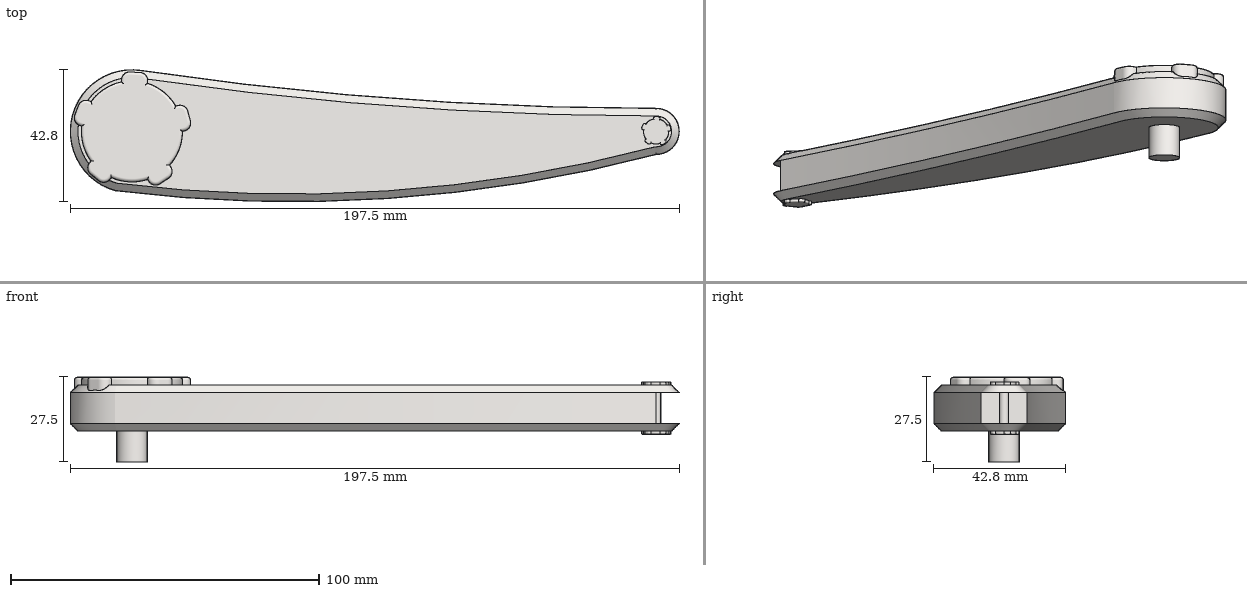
import cadquery as cq
import math

ARM_THICKNESS = 15.0
EDGE_CHAMFER = 2.5
BEVEL_ANGLE = 45.0
HUB_RADIUS = 20.0
TIP_RADIUS = 7.5
TIP_X = 170.0
UNDER_ARC_START_X = -5.4
BELLY_X = 51.7
BELLY_Y = -22.83

SHAFT_RADIUS = 5.0
SHAFT_LENGTH = 10.0

CAP_RADIUS = 16.4
CAP_RISE = 2.5
CAP_EDGE_RADIUS = 1.0
LOBE_COUNT = 5
LOBE_FIRST_ANGLE = 15.0
LOBE_REACH = 19.2
LOBE_WIDTH = 8.5
LOBE_CORNER_RADIUS = 2.6

PIN_RADIUS = 1.5
HEAD_SCALE = 0.25
HEAD_RISE = 1.0

CUT_MARGIN = 10.0


def arm_outline():
    """Hub circle and tip circle joined by a hollow upper arc and a belly arc."""
    upper_radius = (TIP_X**2 + TIP_RADIUS**2 - HUB_RADIUS**2) / (2 * (HUB_RADIUS - TIP_RADIUS))
    upper_centre_y = TIP_RADIUS + upper_radius
    share = HUB_RADIUS / (HUB_RADIUS + upper_radius)
    upper_start = (TIP_X * share, upper_centre_y * share)
    under_start = (UNDER_ARC_START_X, -math.sqrt(HUB_RADIUS**2 - UNDER_ARC_START_X**2))
    return (
        cq.Workplane("XY")
        .moveTo(*under_start)
        .threePointArc((BELLY_X, BELLY_Y), (TIP_X, -TIP_RADIUS))
        .threePointArc((TIP_X + TIP_RADIUS, 0), (TIP_X, TIP_RADIUS))
        .tangentArcPoint(upper_start, relative=False)
        .threePointArc((-HUB_RADIUS, 0), under_start)
        .close()
    )


def arm():
    """Bevelled arm with the wall removed between the tip flanges."""
    wall_height = ARM_THICKNESS - 2 * EDGE_CHAMFER
    wall = arm_outline().extrude(wall_height).translate((0, 0, EDGE_CHAMFER))
    bevel = arm_outline().extrude(EDGE_CHAMFER, taper=BEVEL_ANGLE)
    upper_bevel = bevel.translate((0, 0, ARM_THICKNESS - EDGE_CHAMFER))
    lower_bevel = bevel.mirror("XY").translate((0, 0, EDGE_CHAMFER))
    body = wall.union(upper_bevel).union(lower_bevel)
    slot = cq.Workplane("XY").box(
        TIP_RADIUS + CUT_MARGIN,
        2 * (TIP_RADIUS + CUT_MARGIN),
        wall_height,
        centered=(False, True, False),
    )
    return body.cut(slot.translate((TIP_X, 0, EDGE_CHAMFER)))


def shaft():
    """Round shaft below the hub."""
    return cq.Workplane("XY").circle(SHAFT_RADIUS).extrude(-SHAFT_LENGTH)


def lobed_disc(height, scale=1.0):
    """Disc with rounded lobes and a rounded upper rim; scale shrinks the outline."""
    disc = cq.Workplane("XY").circle(CAP_RADIUS * scale).extrude(height)
    lobe = (
        cq.Workplane("XY")
        .box(LOBE_REACH * scale, LOBE_WIDTH * scale, height, centered=(False, True, False))
        .edges("|Z and >X")
        .fillet(LOBE_CORNER_RADIUS * scale)
    )
    for index in range(LOBE_COUNT):
        angle = LOBE_FIRST_ANGLE + index * 360.0 / LOBE_COUNT
        disc = disc.union(lobe.rotate((0, 0, 0), (0, 0, 1), angle))
    return disc.faces(">Z").edges().fillet(CAP_EDGE_RADIUS * scale)


def cap():
    """Lobed cap on the hub, reaching down to the foot of the upper bevel."""
    return lobed_disc(EDGE_CHAMFER + CAP_RISE).translate((0, 0, ARM_THICKNESS - EDGE_CHAMFER))


def tip_pin():
    """Pin through both tip flanges with a lobed head above and below."""
    pin = cq.Workplane("XY").center(TIP_X, 0).circle(PIN_RADIUS).extrude(ARM_THICKNESS)
    head = lobed_disc(HEAD_RISE, HEAD_SCALE)
    upper_head = head.translate((TIP_X, 0, ARM_THICKNESS))
    lower_head = head.mirror("XY").translate((TIP_X, 0, 0))
    return pin.union(upper_head).union(lower_head)


result = arm().union(shaft()).union(cap()).union(tip_pin())